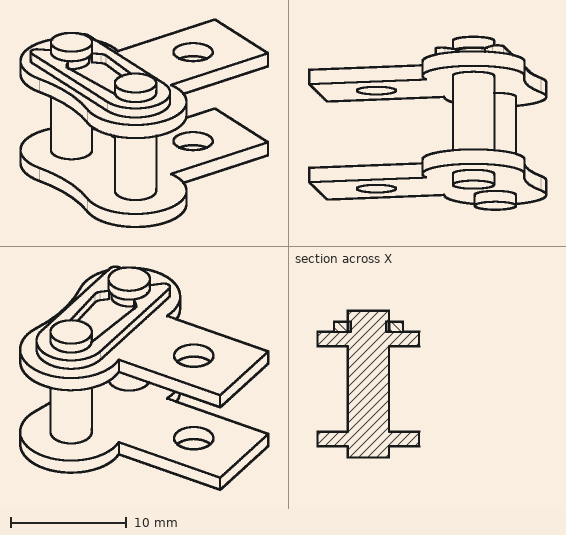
import cadquery as cq
import math


pitch = 9.53
pin_radius = 1.8
neck_radius = 1.55
bottom_projection = 0.95
head_height = 0.94

overall_length = 18.36
overall_depth = 19.09
lobe_radius = (overall_length - pitch) / 2
waist_half_width = 3.57
plate_thickness = 1.28
plate_gap = 7.37
tab_width = 7.9
tab_end = overall_depth - lobe_radius
tab_hole_radius = 1.7
tab_hole_y = pitch

clip_thickness = 0.88
clip_half_width = 3.0
jaw_tip_radius = 0.53
window_corner_radius = 0.63
window_corner_offset = 2.05

half_pitch = pitch / 2
left_pin = (-half_pitch, 0)
upper_plate_z = plate_thickness + plate_gap
clip_z = upper_plate_z + plate_thickness
head_z = clip_z + clip_thickness


def make_plate(z):
    """Two-lobed plate with a concave waist on the -Y edge and a drilled tab on the +Y edge."""
    join_offset = half_pitch - waist_half_width
    join_y = -math.sqrt(lobe_radius**2 - join_offset**2)
    waist_radius = lobe_radius * waist_half_width / join_offset
    waist_rise = waist_radius - math.sqrt(waist_radius**2 - waist_half_width**2)

    waist = (
        cq.Workplane("XY", origin=(0, 0, z))
        .moveTo(-waist_half_width, join_y)
        .threePointArc((0, join_y + waist_rise), (waist_half_width, join_y))
        .lineTo(waist_half_width, 0)
        .lineTo(-waist_half_width, 0)
        .close()
        .extrude(plate_thickness)
    )
    lobes = (
        cq.Workplane("XY", origin=(0, 0, z))
        .pushPoints([left_pin, (half_pitch, 0)])
        .circle(lobe_radius)
        .extrude(plate_thickness)
    )
    tab = (
        cq.Workplane("XY", origin=(0, 0, z))
        .rect(tab_width, tab_end, centered=(True, False))
        .extrude(plate_thickness)
    )
    hole = (
        cq.Workplane("XY", origin=(0, tab_hole_y, z))
        .circle(tab_hole_radius)
        .extrude(plate_thickness)
    )
    return waist.union(lobes).union(tab).cut(hole)


def make_pin(x):
    """Pin with a narrower neck at the height of the clip and a full-size head above it."""
    shank = (
        cq.Workplane("XY", origin=(x, 0, -bottom_projection))
        .circle(pin_radius)
        .extrude(bottom_projection + clip_z)
    )
    neck = cq.Workplane("XY", origin=(x, 0, clip_z)).circle(neck_radius).extrude(clip_thickness)
    head = cq.Workplane("XY", origin=(x, 0, head_z)).circle(pin_radius).extrude(head_height)
    return shank.union(neck).union(head)


def make_link():
    """Both plates and both pins as one solid."""
    link = make_plate(0).union(make_plate(upper_plate_z))
    for x in (-half_pitch, half_pitch):
        link = link.union(make_pin(x))
    return link


def make_clip_window():
    """Tapered opening whose sides run tangent to the neck of the right pin."""
    corner_x = window_corner_offset - half_pitch
    run = half_pitch - corner_x
    corner_angle = math.atan2(window_corner_offset, -run)
    touch_angle = corner_angle - math.acos(neck_radius / math.hypot(run, window_corner_offset))
    touch_x = half_pitch + neck_radius * math.cos(touch_angle)
    touch_y = neck_radius * math.sin(touch_angle)

    outline = (
        cq.Workplane("XY", origin=(0, 0, clip_z))
        .moveTo(*left_pin)
        .lineTo(corner_x, window_corner_offset)
        .lineTo(touch_x, touch_y)
        .threePointArc((half_pitch + neck_radius, 0), (touch_x, -touch_y))
        .lineTo(corner_x, -window_corner_offset)
        .close()
    )
    corner_edges = cq.selectors.BoxSelector(
        (-half_pitch + neck_radius, -clip_half_width, clip_z),
        (0, clip_half_width, head_z),
    )
    return outline.extrude(clip_thickness).edges("|Z").edges(corner_edges).fillet(window_corner_radius)


def make_clip():
    """Spring clip: closed round end at the right pin, two 45-degree jaws at the left pin."""
    jaw_tip_x = -half_pitch - clip_half_width
    blank = (
        cq.Workplane("XY", origin=(0, 0, clip_z))
        .moveTo(*left_pin)
        .lineTo(jaw_tip_x, clip_half_width)
        .lineTo(half_pitch, clip_half_width)
        .threePointArc((half_pitch + clip_half_width, 0), (half_pitch, -clip_half_width))
        .lineTo(jaw_tip_x, -clip_half_width)
        .close()
        .extrude(clip_thickness)
        .edges("|Z and <X")
        .fillet(jaw_tip_radius)
    )
    jaw_bore = (
        cq.Workplane("XY", origin=(-half_pitch, 0, clip_z))
        .circle(pin_radius)
        .extrude(clip_thickness)
    )
    return blank.cut(make_clip_window()).cut(jaw_bore)


link = make_link()
clip = make_clip()

result = cq.Compound.makeCompound([link.val(), clip.val()])